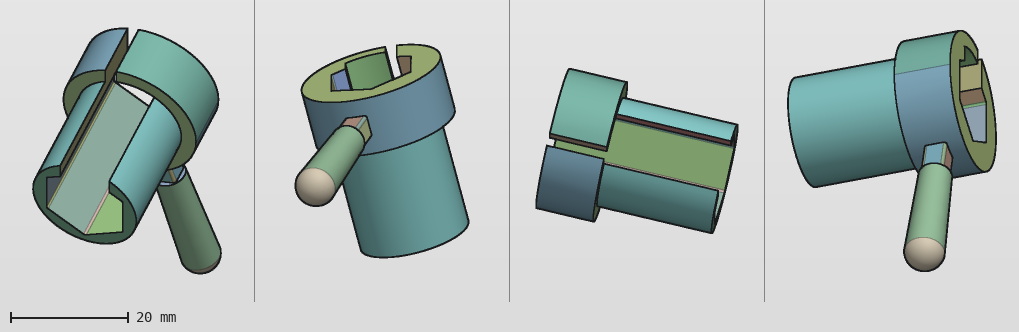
import cadquery as cq
import math

socket_length = 30.0
tube_radius = 9.5
collar_radius = 12.2
collar_length = 10.0
hex_across_flats = 14.0
hex_corner_radius = 0.5
tube_slot_width = 9.0
collar_slit_width = 2.0

lever_tilt = 16.8
shank_width = 4.0
shank_edge_radius = 0.5
shank_length = 6.0
grip_taper_length = 20.0
grip_start_radius = 2.9
grip_end_radius = 3.5
dome_height = 3.0

collar_front = socket_length - collar_length
collar_middle = socket_length - collar_length / 2

grip_start = collar_radius + shank_length
grip_shoulder = grip_start + grip_taper_length
grip_end = grip_shoulder + dome_height
lever_turn = 180 - lever_tilt


def cylinder_y(radius, start, end):
    """Cylinder on the socket axis, between two Y positions."""
    return cq.Workplane("XZ", origin=(0, start, 0)).circle(radius).extrude(start - end)


def box_above_axis(left, right, start, end):
    """Block from the socket axis up past the collar, for cutting slots."""
    return (
        cq.Workplane("XY", origin=(left, start, 0))
        .box(right - left, end - start, 2 * collar_radius, centered=False)
    )


def hexagon_bore():
    """Hexagonal prism through the whole socket, with corners up and down."""
    corner_diameter = hex_across_flats / math.cos(math.pi / 6)
    return (
        cq.Workplane("XZ")
        .transformed(rotate=(0, 0, 90))
        .polygon(6, corner_diameter)
        .extrude(-socket_length)
        .edges("|Y")
        .fillet(hex_corner_radius)
    )


def make_socket():
    slot_left = -tube_slot_width / 2
    slot_right = tube_slot_width / 2
    tube_slot = box_above_axis(slot_left, slot_right, 0, socket_length).intersect(
        cylinder_y(tube_radius, 0, socket_length)
    )
    collar_slit = box_above_axis(slot_left, slot_left + collar_slit_width, collar_front, socket_length)
    return (
        cylinder_y(tube_radius, 0, socket_length)
        .union(cylinder_y(collar_radius, collar_front, socket_length))
        .cut(hexagon_bore())
        .cut(tube_slot)
        .cut(collar_slit)
    )


def place_on_lever_axis(body):
    """Turn a body built along +Z onto the lever axis, at the middle of the collar."""
    return body.rotate((0, 0, 0), (0, 1, 0), lever_turn).translate((0, collar_middle, 0))


def make_shank():
    """Rounded square bar from the collar's outer surface to the grip."""
    bar = (
        cq.Workplane("XY", origin=(0, 0, tube_radius))
        .rect(shank_width, shank_width)
        .extrude(grip_start - tube_radius)
        .edges("|Z")
        .fillet(shank_edge_radius)
    )
    return place_on_lever_axis(bar).cut(cylinder_y(collar_radius, collar_front, socket_length))


def make_grip():
    """Tapered grip, thicker toward its outer end, which is capped by a shallow spherical dome."""
    dome_radius = (grip_end_radius**2 + dome_height**2) / (2 * dome_height)
    dome_center = grip_end - dome_radius
    dome_middle = dome_radius * math.sqrt(0.5)
    profile = (
        cq.Workplane("XZ")
        .moveTo(0, grip_start)
        .lineTo(grip_start_radius, grip_start)
        .lineTo(grip_end_radius, grip_shoulder)
        .threePointArc((dome_middle, dome_center + dome_middle), (0, grip_end))
        .close()
    )
    return place_on_lever_axis(profile.revolve(360, (0, 0, 0), (0, 1, 0)))


socket = make_socket()
shank = make_shank()
grip = make_grip()

result = cq.Compound.makeCompound([socket.val(), shank.val(), grip.val()])